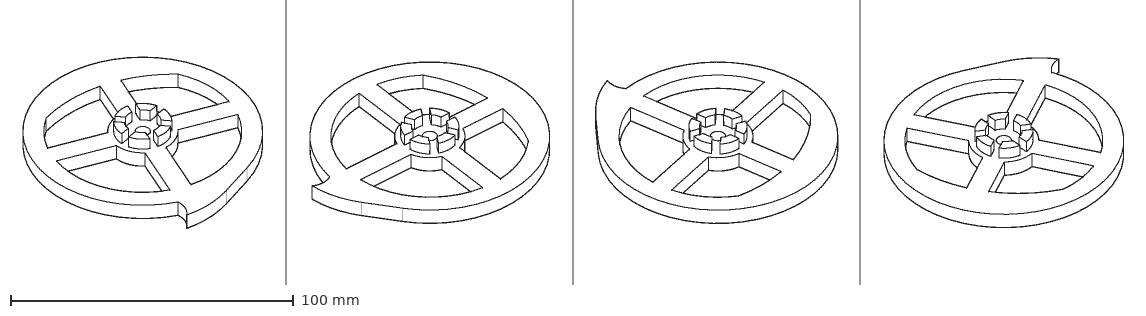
import cadquery as cq
import math

overall_length = 92.8
rim_diameter = 84.9
rim_radius = rim_diameter / 2
window_radius = 35.0
hub_radius = 12.4
spoke_width = 8.1
bore_diameter = 5.4
wheel_thickness = 6.0

nose_angle = 38
flank_length = 15.0
tip_x = overall_length - rim_radius
tip_y = -spoke_width / 2
notch_crown = (46.2, -3.0)

counterweight_radius = 53.75
counterweight_center = (23.8, 2.4)

tooth_count = 6
tooth_outer_radius = 10.3
tooth_inner_radius = 6.5
tooth_gap = 3.1
tooth_height = 4.5


def make_nose():
    """Hooked nose, overlapping the rim disc so that both join fully."""
    angle = math.radians(nose_angle)
    flank_direction = (math.sin(angle), -math.cos(angle))
    flank_start = (rim_radius * math.cos(angle), rim_radius * math.sin(angle))
    flank_end = (
        flank_start[0] + flank_length * flank_direction[0],
        flank_start[1] + flank_length * flank_direction[1],
    )
    notch_start = (math.sqrt(rim_radius**2 - tip_y**2), tip_y)
    return (
        cq.Workplane("XY")
        .moveTo(*flank_start)
        .lineTo(*flank_end)
        .tangentArcPoint((tip_x, tip_y), relative=False)
        .threePointArc(notch_crown, notch_start)
        .lineTo(hub_radius, tip_y)
        .close()
        .extrude(wheel_thickness)
    )


def make_windows():
    """Four openings between the hub, the spokes, the rim and the counterweight."""
    spoke_length = rim_diameter
    counterweight_limit = (
        cq.Workplane("XY")
        .center(*counterweight_center)
        .circle(counterweight_radius)
        .extrude(wheel_thickness)
    )
    spokes = (
        cq.Workplane("XY")
        .rect(spoke_length, spoke_width)
        .extrude(wheel_thickness)
        .union(cq.Workplane("XY").rect(spoke_width, spoke_length).extrude(wheel_thickness))
    )
    ring = cq.Workplane("XY").circle(window_radius).circle(hub_radius).extrude(wheel_thickness)
    return ring.intersect(counterweight_limit).cut(spokes)


def make_wheel():
    disc = cq.Workplane("XY").circle(rim_radius).extrude(wheel_thickness)
    bore = cq.Workplane("XY").circle(bore_diameter / 2).extrude(wheel_thickness)
    return disc.union(make_nose()).cut(make_windows()).cut(bore)


def make_tooth(center_angle):
    """Ring segment with corners set back so that parallel gaps separate the teeth."""
    half_pitch = math.pi / tooth_count

    def flank_point(radius, side):
        angle = side * (half_pitch - math.asin(tooth_gap / 2 / radius))
        return (radius * math.cos(angle), radius * math.sin(angle))

    return (
        cq.Workplane("XY")
        .workplane(offset=wheel_thickness)
        .moveTo(*flank_point(tooth_inner_radius, -1))
        .lineTo(*flank_point(tooth_outer_radius, -1))
        .threePointArc((tooth_outer_radius, 0), flank_point(tooth_outer_radius, 1))
        .lineTo(*flank_point(tooth_inner_radius, 1))
        .threePointArc((tooth_inner_radius, 0), flank_point(tooth_inner_radius, -1))
        .close()
        .extrude(tooth_height)
        .rotate((0, 0, 0), (0, 0, 1), center_angle)
    )


wheel = make_wheel()

tooth_pitch = 360 / tooth_count
teeth = [make_tooth((index + 0.5) * tooth_pitch) for index in range(tooth_count)]

result = cq.Compound.makeCompound([wheel.val(), *[tooth.val() for tooth in teeth]])